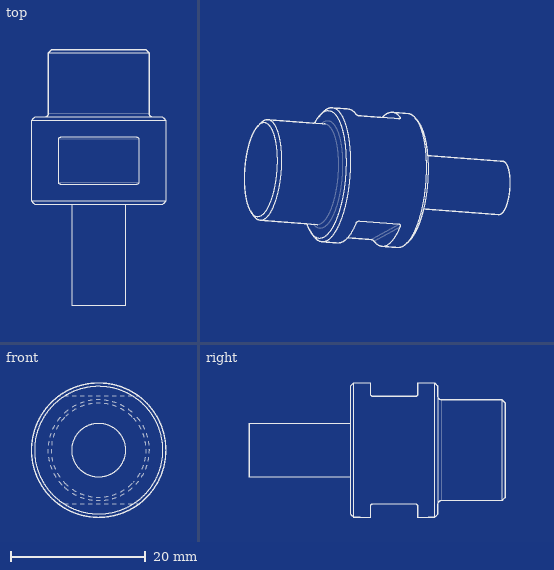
import cadquery as cq

total_length = 38.0
shank_length = 15.0
body_length = 13.0
shank_diameter = 7.98
body_diameter = 20.0
spigot_diameter = 15.0
edge_chamfer = 0.5
root_fillet = 0.5

across_flats = 16.0
flat_length = 7.0
flat_offset = 3.0
flat_corner_fillet = 0.3

body_start = shank_length
body_end = body_start + body_length
shank_radius = shank_diameter / 2
body_radius = body_diameter / 2
spigot_radius = spigot_diameter / 2


def turned_part():
    """Revolve the half profile: shank, body and spigot with a filleted root."""
    profile = (
        cq.Workplane("XY")
        .moveTo(0, 0)
        .lineTo(shank_radius, 0)
        .lineTo(shank_radius, body_start)
        .lineTo(body_radius - edge_chamfer, body_start)
        .lineTo(body_radius, body_start + edge_chamfer)
        .lineTo(body_radius, body_end - edge_chamfer)
        .lineTo(body_radius - edge_chamfer, body_end)
        .lineTo(spigot_radius + root_fillet, body_end)
        .radiusArc((spigot_radius, body_end + root_fillet), root_fillet)
        .lineTo(spigot_radius, total_length - edge_chamfer)
        .lineTo(spigot_radius - edge_chamfer, total_length)
        .lineTo(0, total_length)
        .close()
    )
    return profile.revolve(360, (0, 0, 0), (0, 1, 0))


def flat_cutter(side):
    """Block that cuts one flat; side is +1 for the top and -1 for the bottom."""
    depth = body_radius
    center_y = body_start + flat_offset + flat_length / 2
    center_z = side * (across_flats / 2 + depth / 2)
    floor_edges = "<Z" if side > 0 else ">Z"
    return (
        cq.Workplane("XY")
        .box(body_diameter, flat_length, depth)
        .faces(floor_edges)
        .edges("|X")
        .fillet(flat_corner_fillet)
        .translate((0, center_y, center_z))
    )


result = turned_part()
for side in (1, -1):
    result = result.cut(flat_cutter(side))